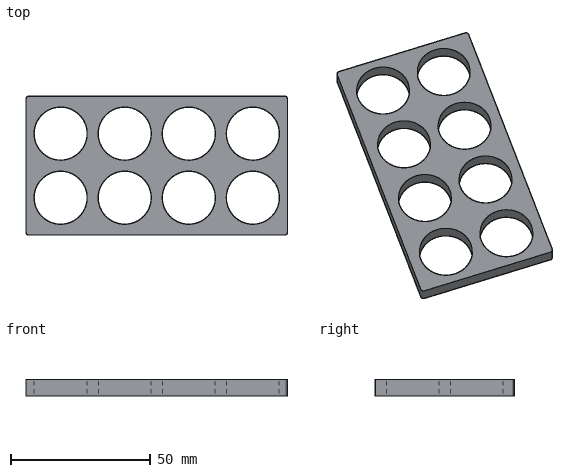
import cadquery as cq

length = 94.0
width = 50.0
thickness = 6.0
corner_radius = 1.0

hole_diameter = 19.0
hole_pitch = 23.0
columns = 4
rows = 2

plate = cq.Workplane("XY").box(length, width, thickness).edges("|Z").fillet(corner_radius)

result = (
    plate.faces(">Z")
    .workplane(origin=(0, 0, 0))
    .rarray(hole_pitch, hole_pitch, columns, rows)
    .hole(hole_diameter)
)